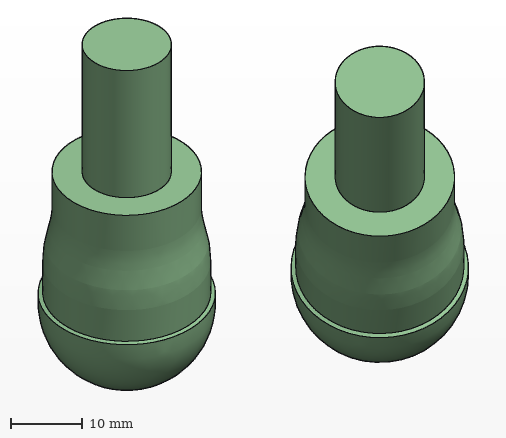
import cadquery as cq
import math

total_height = 57.0

cap_radius = 12.5
rim_bottom = 13.5
rim_radius = math.sqrt(cap_radius**2 - (rim_bottom - cap_radius)**2)
lip_height = 14.0
lip_width = 0.15
seat_rise = 0.1
seat_height = lip_height + seat_rise

base_radius = 11.8
neck_radius = 10.5
stem_radius = 6.25
base_top = 19.5
neck_bottom = 28.8
neck_top = 35.0

shoulder_arc_height = 3.2
shoulder_height = neck_bottom - base_top
shoulder_inset = base_radius - neck_radius
cone_height = shoulder_height - 2 * shoulder_arc_height

half_angle_tangent = shoulder_inset / (2 * (shoulder_arc_height + cone_height))
shoulder_arc_inset = shoulder_arc_height * half_angle_tangent


def make_cap():
    """Spherical foot with a short rim and a narrow flat lip, sloping up gently to the seat."""
    mid = cap_radius * math.sqrt(0.5)
    profile = (
        cq.Workplane("XZ")
        .moveTo(0, 0)
        .threePointArc((mid, cap_radius - mid), (rim_radius, rim_bottom))
        .lineTo(rim_radius, lip_height)
        .lineTo(rim_radius - lip_width, lip_height)
        .lineTo(base_radius, seat_height)
        .lineTo(0, seat_height)
        .close()
    )
    return profile.revolve(360, (0, 0), (0, 1))


def make_stud():
    """Stepped round body standing on the seat of the cap, with its stem at the top."""
    profile = (
        cq.Workplane("XZ")
        .moveTo(0, seat_height)
        .lineTo(base_radius, seat_height)
        .lineTo(base_radius, base_top)
        .tangentArcPoint((base_radius - shoulder_arc_inset, base_top + shoulder_arc_height), relative=False)
        .lineTo(neck_radius + shoulder_arc_inset, neck_bottom - shoulder_arc_height)
        .tangentArcPoint((neck_radius, neck_bottom), relative=False)
        .lineTo(neck_radius, neck_top)
        .lineTo(stem_radius, neck_top)
        .lineTo(stem_radius, total_height)
        .lineTo(0, total_height)
        .close()
    )
    return profile.revolve(360, (0, 0), (0, 1))


cap = make_cap()
stud = make_stud()
result = cq.Compound.makeCompound([cap.val(), stud.val()])